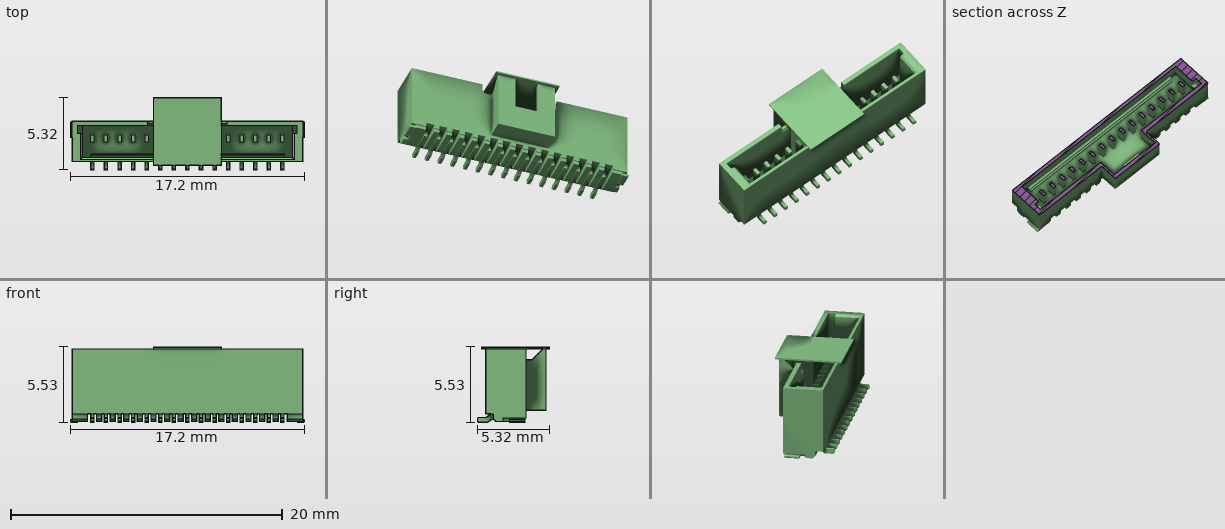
import cadquery as cq


OVERALL_LENGTH = 17.24
HOUSING_LENGTH = 17.0
HOUSING_DEPTH = 2.98
HOUSING_TOP = 5.41
HOUSING_UNDERSIDE = 0.62
HALF_HOUSING = HOUSING_LENGTH / 2

CAVITY_LENGTH = 15.45
CAVITY_FRONT = 0.3
CAVITY_REAR = 2.64
CAVITY_FLOOR = 1.2
LEAD_IN = 0.15
BEVEL_ANGLE = 45.0
CORNER_GROOVE_FRONT = 2.07
CORNER_GROOVE_LENGTH = 16.17
CORNER_GROOVE_FLOOR = 1.72

LEDGE_LENGTH = 14.31
LEDGE_UPPER_REAR = 0.47
LEDGE_LOWER_REAR = 0.57
LEDGE_STEP = 0.17

LATCH_LENGTH = 4.48
LATCH_SIDE_WALL = 0.2
LATCH_REAR_WALL = 0.35
LATCH_REAR = 4.45
LATCH_BOTTOM = 0.88
LATCH_SHOULDER = 4.62
SLOPE_FOOT = 3.41
SLOPE_HEAD = 4.22
WINDOW_LENGTH = 1.8
WINDOW_BOTTOM = 2.86
CATCH_LENGTH = 1.45
CATCH_DEPTH = 0.35
CATCH_TOP = 1.75

NOTCH_LENGTH = 5.86
NOTCH_BOTTOM = LATCH_SHOULDER
NOTCH_FILLET = 0.31
NOTCH_BEVEL = 0.15

CONTACT_COUNT = 15
PITCH = 1.0
CONTACT_WIDTH = 0.25
POST_FRONT = 1.45
POST_REAR = 1.97
POST_TOP = 3.45
LEAD_TIP = -0.62
LEAD_THICKNESS = 0.36
LEAD_BOTTOM = 0.2
BEND_TOP = 0.38
BEND_BOTTOM = 0.45
TOE_TOP = 0.02
TOE_BOTTOM = 0.14
TIP_CHAMFER = 0.09

FOOT_FRONT = 0.57
FOOT_REAR = 2.9
FOOT_BOTTOM = 0.05
FOOT_CHAMFER_DEPTH = 0.17
FOOT_CHAMFER_HEIGHT = 0.19
TOOTH_WIDTH = 0.4
END_FOOT_WIDTH = 1.15

TAB_WIDTH = 0.52
TAB_FRONT = 1.75
TAB_HEIGHT = 0.2
TAB_CHAMFER = 0.05
TAB_RECESS_FRONT = 1.3
TAB_RECESS_TOP = 0.31
TAB_RECESS_WIDTH = 0.35

PLATE_SIZE = 5.0
PLATE_THICKNESS = 0.12
PLATE_FRONT = -0.3


def block(x_start, x_end, y_start, y_end, z_start, z_end):
    """Box between the given limits."""
    return cq.Workplane("XY").box(
        x_end - x_start, y_end - y_start, z_end - z_start, centered=False
    ).translate((x_start, y_start, z_start))


def centred_block(length, y_start, y_end, z_start, z_end):
    """Box centred in X."""
    return block(-length / 2, length / 2, y_start, y_end, z_start, z_end)


def side_prism(outline, x_centre, width):
    """Extrude a (Y, Z) outline along X, centred on x_centre."""
    return (
        cq.Workplane("YZ", origin=(x_centre - width / 2, 0, 0))
        .polyline(outline).close().extrude(width)
    )


def cavity():
    """Mating opening with its rear corner grooves and the lead-in on the front and end walls."""
    opening = centred_block(CAVITY_LENGTH, CAVITY_FRONT, CAVITY_REAR, CAVITY_FLOOR, HOUSING_TOP)
    grooves = centred_block(
        CORNER_GROOVE_LENGTH, CORNER_GROOVE_FRONT, CAVITY_REAR, CORNER_GROOVE_FLOOR, HOUSING_TOP
    )
    lead_in = (
        cq.Workplane("XY", origin=(0, 0, HOUSING_TOP))
        .center(0, (CAVITY_FRONT + CAVITY_REAR) / 2)
        .rect(CAVITY_LENGTH + 2 * LEAD_IN, CAVITY_REAR - CAVITY_FRONT + 2 * LEAD_IN)
        .extrude(-LEAD_IN, taper=BEVEL_ANGLE)
        .intersect(centred_block(HOUSING_LENGTH, 0, CAVITY_REAR, CAVITY_FLOOR, HOUSING_TOP))
    )
    return opening.union(grooves).union(lead_in)


def ledge():
    outline = [
        (CAVITY_FRONT, CAVITY_FLOOR),
        (LEDGE_LOWER_REAR, CAVITY_FLOOR),
        (LEDGE_LOWER_REAR, CAVITY_FLOOR + LEDGE_STEP),
        (LEDGE_UPPER_REAR, CAVITY_FLOOR + LEDGE_STEP),
        (LEDGE_UPPER_REAR, CAVITY_FLOOR + 2 * LEDGE_STEP),
        (CAVITY_FRONT, CAVITY_FLOOR + 2 * LEDGE_STEP),
    ]
    return side_prism(outline, 0, LEDGE_LENGTH)


def latch_box():
    """Solid outside shape of the latch box, its top sloping down towards the housing."""
    outline = [
        (HOUSING_DEPTH, LATCH_BOTTOM),
        (LATCH_REAR, LATCH_BOTTOM),
        (LATCH_REAR, HOUSING_TOP),
        (SLOPE_HEAD, HOUSING_TOP),
        (SLOPE_FOOT, LATCH_SHOULDER),
        (HOUSING_DEPTH, LATCH_SHOULDER),
    ]
    return side_prism(outline, 0, LATCH_LENGTH)


def latch_openings():
    """Pocket joining the cavity, leaving a catch block at its rear, and the window in the rear wall."""
    pocket_rear = LATCH_REAR - LATCH_REAR_WALL
    pocket = centred_block(
        LATCH_LENGTH - 2 * LATCH_SIDE_WALL, CAVITY_REAR, pocket_rear, CAVITY_FLOOR, HOUSING_TOP
    )
    window = centred_block(WINDOW_LENGTH, pocket_rear, LATCH_REAR, WINDOW_BOTTOM, HOUSING_TOP)
    catch = centred_block(CATCH_LENGTH, pocket_rear - CATCH_DEPTH, pocket_rear, CAVITY_FLOOR, CATCH_TOP)
    return pocket.cut(catch).union(window)


def notch_profile(margin):
    """Rounded rectangle centred on the housing's top edge, grown outwards by the margin."""
    return (
        cq.Sketch()
        .rect(NOTCH_LENGTH + 2 * margin, 2 * (HOUSING_TOP - NOTCH_BOTTOM + margin))
        .vertices().fillet(NOTCH_FILLET + margin)
    )


def rear_notch():
    """Round-cornered notch in the top of the rear wall, its floor bevelled towards the cavity."""
    plane = cq.Workplane("XZ", origin=(0, CAVITY_REAR, HOUSING_TOP))
    straight = plane.placeSketch(notch_profile(0)).extrude(CAVITY_REAR - HOUSING_DEPTH)
    bevel = plane.placeSketch(notch_profile(NOTCH_BEVEL)).extrude(-NOTCH_BEVEL, taper=BEVEL_ANGLE)
    limits = centred_block(NOTCH_LENGTH, CAVITY_REAR, HOUSING_DEPTH, CAVITY_FLOOR, HOUSING_TOP)
    return straight.union(bevel).intersect(limits)


def foot(x_centre, width):
    outline = [
        (FOOT_FRONT, HOUSING_UNDERSIDE),
        (FOOT_FRONT, FOOT_BOTTOM + FOOT_CHAMFER_HEIGHT),
        (FOOT_FRONT + FOOT_CHAMFER_DEPTH, FOOT_BOTTOM),
        (FOOT_REAR, FOOT_BOTTOM),
        (FOOT_REAR, TAB_RECESS_TOP),
        (HOUSING_DEPTH, TAB_RECESS_TOP),
        (HOUSING_DEPTH, HOUSING_UNDERSIDE),
    ]
    return side_prism(outline, x_centre, width)


def end_foot():
    """Foot at the -X end, with the recess that holds the solder tab."""
    recess = block(
        -HALF_HOUSING, -HALF_HOUSING + TAB_RECESS_WIDTH,
        TAB_RECESS_FRONT, HOUSING_DEPTH, 0, TAB_RECESS_TOP,
    )
    tab = block(
        -OVERALL_LENGTH / 2, -OVERALL_LENGTH / 2 + TAB_WIDTH, TAB_FRONT, FOOT_REAR, 0, TAB_HEIGHT
    ).edges("|Y and <X").chamfer(TAB_CHAMFER)
    return foot(-HALF_HOUSING + END_FOOT_WIDTH / 2, END_FOOT_WIDTH).cut(recess).union(tab)


def contact(x_centre):
    """Post standing in the cavity, joined under the floor to a lead that bends down to the board."""
    outline = [
        (POST_REAR, POST_TOP),
        (POST_FRONT, POST_TOP),
        (POST_FRONT, HOUSING_UNDERSIDE),
        (BEND_TOP, HOUSING_UNDERSIDE),
        (TOE_TOP, LEAD_THICKNESS),
        (LEAD_TIP + TIP_CHAMFER, LEAD_THICKNESS),
        (LEAD_TIP, LEAD_THICKNESS - TIP_CHAMFER),
        (LEAD_TIP, TIP_CHAMFER),
        (LEAD_TIP + TIP_CHAMFER, 0),
        (TOE_BOTTOM, 0),
        (BEND_BOTTOM, LEAD_BOTTOM),
        (POST_REAR, LEAD_BOTTOM),
    ]
    return side_prism(outline, x_centre, CONTACT_WIDTH)


def make_connector():
    """Housing with its contacts and solder tabs."""
    body = centred_block(HOUSING_LENGTH, 0, HOUSING_DEPTH, HOUSING_UNDERSIDE, HOUSING_TOP)
    body = body.cut(cavity()).union(ledge())
    body = body.cut(rear_notch()).union(latch_box()).cut(latch_openings())
    first_contact = -PITCH * (CONTACT_COUNT - 1) / 2
    for index in range(CONTACT_COUNT):
        body = body.union(contact(first_contact + index * PITCH))
    for index in range(CONTACT_COUNT - 1):
        body = body.union(foot(first_contact + (index + 0.5) * PITCH, TOOTH_WIDTH))
    left_foot = end_foot()
    return body.union(left_foot).union(left_foot.mirror("YZ"))


def make_plate():
    """Flat pick-up plate resting on the housing's top."""
    return centred_block(
        PLATE_SIZE, PLATE_FRONT, PLATE_FRONT + PLATE_SIZE, HOUSING_TOP, HOUSING_TOP + PLATE_THICKNESS
    )


connector = make_connector()
plate = make_plate()
result = cq.Compound.makeCompound([connector.val(), plate.val()])